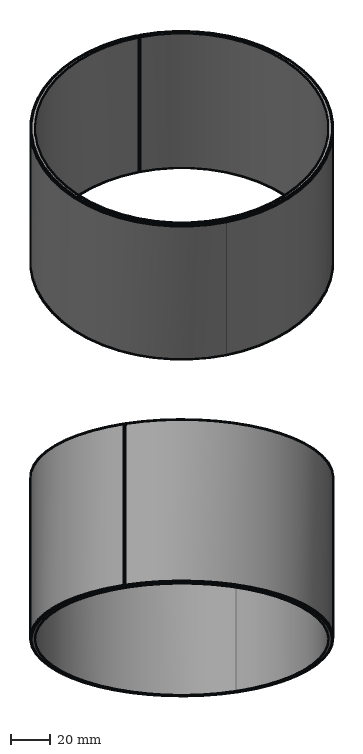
import cadquery as cq

outer_diameter = 155.0
wall = 2.5
height = 90.0
edge_chamfer = 0.6
slit_width = 1.2

outer_radius = outer_diameter / 2
inner_radius = outer_radius - wall

cylinder = cq.Workplane("XY").cylinder(height, outer_radius)
cylinder = cylinder.faces("|Z").edges().chamfer(edge_chamfer)
bore = cq.Workplane("XY").cylinder(height, inner_radius)
ring = cylinder.cut(bore)

slit = (
    cq.Workplane("XY")
    .box(2 * wall, slit_width, height)
    .translate((-outer_radius, slit_width / 2, 0))
)

result = ring.cut(slit)